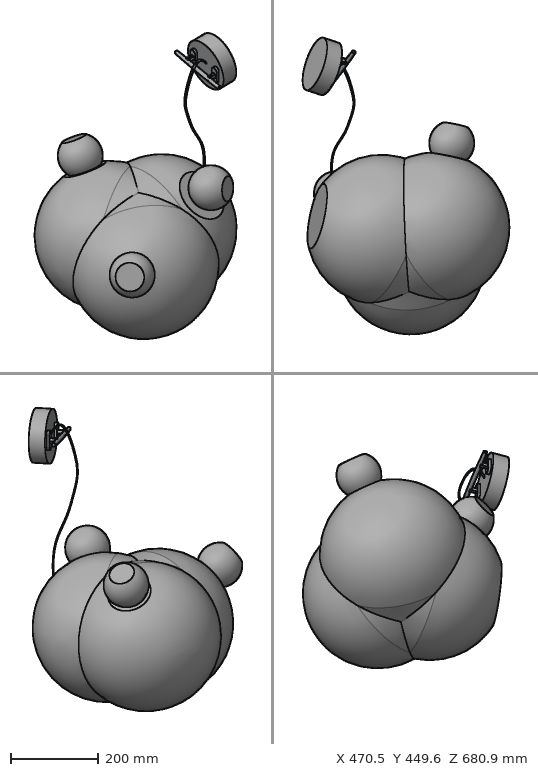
import cadquery as cq
import math

lobe_radius = 172.5
lobe_offset = 70.0
sleeve_end = 53.0
sleeve_waist_radius = 163.0
back_lobe, left_lobe, right_lobe = 90.0, 210.0, 330.0

bulb_radius = 52.0
bulb_reach = 198.0
bulb_flat_offset = 43.0
right_bulb_reach = 198.8
right_bulb_flat_offset = 40.0
seat_distance = 165.0
back_seat_distance = 161.0
wall_flat_heading = 81.0
wall_flat_distance = 155.0
left_bulb = (left_lobe, (172.0, 50.5), (172.0, 50.5))
right_bulb = (right_lobe, (-50.0, 37.2), (-50.0, 37.2))
back_bulb = (back_lobe, (36.5, 54.0), (28.0, 16.0))

canopy_radius = 63.5
canopy_depth = 38.5
canopy_back_y = 241.3
canopy_z = 444.9
canopy_front_y = canopy_back_y - canopy_depth

clip_spacing = 76.4
clip_plate_width = 17.6
clip_plate_height = 46.8
clip_plate_thickness = 6.6
post_across_corners = 13.6

bar_length = 153.0
bar_end_radius = 4.4
bar_middle_radius = 5.7
bar_y = 179.0

cable_width = 6.2
cable_thickness = 2.6
cable_path = [
    (canopy_front_y, 452.0),
    (196.0, 463.0),
    (182.6, 473.0),
    (163.0, 452.0),
    (150.0, 416.0),
    (141.0, 365.0),
    (150.0, 312.0),
    (165.0, 261.0),
    (191.5, 195.0),
    (197.5, 160.0),
    (196.0, 105.0),
]


def direction(heading, elevation=0.0):
    """Unit vector from a heading in the XY plane and an elevation above it, in degrees."""
    turn = math.radians(heading)
    rise = math.radians(elevation)
    return cq.Vector(math.cos(rise) * math.cos(turn), math.cos(rise) * math.sin(turn), math.sin(rise))


def lobe_centre(heading):
    return direction(heading) * lobe_offset


def make_lobe(heading):
    """Inner cone that opens outward from the hub axis, closed by a sphere."""
    rim_radius = math.sqrt(lobe_radius**2 - (lobe_offset - sleeve_end) ** 2)
    lobe = (
        cq.Workplane("XY")
        .lineTo(0, sleeve_waist_radius)
        .lineTo(sleeve_end, rim_radius)
        .threePointArc(
            (lobe_offset + lobe_radius * math.sqrt(0.5), lobe_radius * math.sqrt(0.5)),
            (lobe_offset + lobe_radius, 0),
        )
        .close()
        .revolve(360, (0, 0, 0), (1, 0, 0))
    )
    return lobe.rotate((0, 0, 0), (0, 0, 1), heading)


def make_flat_cut(lobe, toward, distance):
    """Disc that trims a lobe to a flat at a distance from the lobe's centre."""
    outward = direction(*toward)
    base = cq.Plane(origin=lobe_centre(lobe) + outward * distance, normal=outward)
    return cq.Workplane(base).circle(lobe_radius / 2).extrude(lobe_radius - distance)


def make_bulb(lobe, toward, axis, reach=bulb_reach, flat_offset=bulb_flat_offset):
    """Sphere with a flat outer end, revolved about its axis."""
    flat_radius = math.sqrt(bulb_radius**2 - flat_offset**2)
    axis_line = direction(*axis)
    centre = lobe_centre(lobe) + direction(*toward) * reach
    across = cq.Vector(0, 0, 1).cross(axis_line)
    base = cq.Plane(origin=centre, xDir=across, normal=across.cross(axis_line))
    return (
        cq.Workplane(base)
        .moveTo(0, -bulb_radius)
        .threePointArc((bulb_radius, 0), (flat_radius, flat_offset))
        .lineTo(0, flat_offset)
        .close()
        .revolve(360, (0, 0, 0), (0, 1, 0))
    )


def make_shade():
    shade = make_lobe(back_lobe).union(make_lobe(left_lobe)).union(make_lobe(right_lobe))
    shade = shade.cut(make_flat_cut(back_lobe, (wall_flat_heading, 0.0), wall_flat_distance))
    for (lobe, toward, axis), distance in ((left_bulb, seat_distance), (back_bulb, back_seat_distance)):
        shade = shade.cut(make_flat_cut(lobe, toward, distance))
        shade = shade.union(make_bulb(lobe, toward, axis))
    return shade.union(make_bulb(*right_bulb, right_bulb_reach, right_bulb_flat_offset))


def make_bar():
    """Round bar along X that swells toward its middle."""
    half_length = bar_length / 2
    return (
        cq.Workplane("XY")
        .moveTo(-half_length, 0)
        .lineTo(-half_length, bar_end_radius)
        .threePointArc((0, bar_middle_radius), (half_length, bar_end_radius))
        .lineTo(half_length, 0)
        .close()
        .revolve(360, (0, 0, 0), (1, 0, 0))
        .translate((0, bar_y, canopy_z))
    )


def make_clip(x):
    """Obround plate on the canopy with a hexagonal post that reaches the bar."""
    face = cq.Workplane("XZ", origin=(x, canopy_front_y, canopy_z))
    plate = face.slot2D(clip_plate_height, clip_plate_width, 90).extrude(clip_plate_thickness)
    post = face.polygon(6, post_across_corners).extrude(canopy_front_y - bar_y)
    return plate.union(post)


def make_canopy(bar):
    canopy = (
        cq.Workplane("XZ", origin=(0, canopy_back_y, canopy_z))
        .circle(canopy_radius)
        .extrude(canopy_depth)
    )
    for side in (-1, 1):
        canopy = canopy.union(make_clip(side * clip_spacing / 2))
    return canopy.cut(bar)


def make_cable(shade):
    """Oval cable that starts on the canopy face and ends on the back lobe."""
    path = cq.Workplane("YZ").spline(cable_path)
    start = cq.Plane(origin=(0, *cable_path[0]), xDir=(1, 0, 0), normal=path.val().tangentAt(0))
    cable = cq.Workplane(start).ellipse(cable_width / 2, cable_thickness / 2).sweep(path)
    return cable.cut(shade)


shade = make_shade()
bar = make_bar()
canopy = make_canopy(bar)
cable = make_cable(shade).cut(canopy)

result = cq.Compound.makeCompound([shade.val(), canopy.val(), bar.val(), cable.val()])